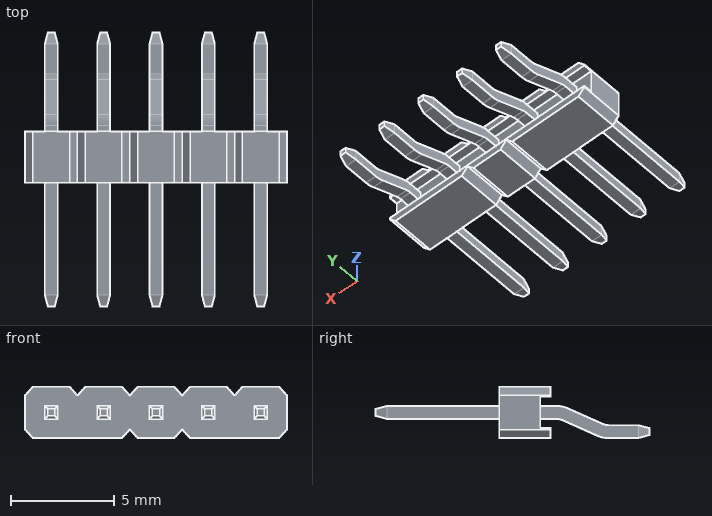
import cadquery as cq
import math

pin_count = 5
pitch = 2.54
housing_length = 12.71
housing_depth = 2.5
housing_height = 2.5
chamfer_width = 0.385
chamfer_height = 0.42
bottom_notch_gaps = (1, 2)

channel_depth = 0.5
channel_height = 1.5

pin_size = 0.64
front_reach = 6.0
back_reach = 4.8
tip_length = 0.56
tip_size = 0.34

jog_start = 0.3
bend_angle = math.radians(24)
inner_bend_radius = pin_size
bend_radius = inner_bend_radius + pin_size / 2

half_length = housing_length / 2
half_height = housing_height / 2
front_face = -housing_depth / 2
back_face = housing_depth / 2
pin_drop = half_height - pin_size / 2
first_pin_x = -pitch * (pin_count - 1) / 2


def make_notch(gap, side):
    """V-groove between two cells; side is +1 for the top and -1 for the bottom."""
    gap_x = first_pin_x + (gap + 0.5) * pitch
    edge_z = side * half_height
    outline = [
        (gap_x - chamfer_width, edge_z),
        (gap_x + chamfer_width, edge_z),
        (gap_x, edge_z - side * chamfer_height),
    ]
    return cq.Workplane("XZ").polyline(outline).close().extrude(housing_depth / 2, both=True)


def make_housing():
    """Octagonal strip with V-grooves and a channel along its back."""
    flat_end = half_length - chamfer_width
    wall_end = half_height - chamfer_height
    outline = [
        (-flat_end, half_height),
        (flat_end, half_height),
        (half_length, wall_end),
        (half_length, -wall_end),
        (flat_end, -half_height),
        (-flat_end, -half_height),
        (-half_length, -wall_end),
        (-half_length, wall_end),
    ]
    housing = cq.Workplane("XZ").polyline(outline).close().extrude(housing_depth / 2, both=True)
    for gap in range(pin_count - 1):
        housing = housing.cut(make_notch(gap, 1))
    for gap in bottom_notch_gaps:
        housing = housing.cut(make_notch(gap, -1))
    channel = cq.Workplane("XY").box(housing_length, 2 * channel_depth, channel_height)
    return housing.cut(channel.translate((0, back_face, 0)))


def make_tip(base_y, base_z, direction):
    """Tapered pin end; direction is +1 towards the back and -1 towards the front."""
    return (
        cq.Workplane(cq.Plane((0, base_y, base_z), (1, 0, 0), (0, direction, 0)))
        .rect(pin_size, pin_size)
        .workplane(offset=tip_length)
        .rect(tip_size, tip_size)
        .loft(ruled=True)
    )


def make_pin():
    """Square pin, straight in front and jogged down behind, tapered at both ends."""
    shank_front = front_face - front_reach + tip_length
    shank_back = back_face + back_reach - tip_length

    arc_run = bend_radius * math.sin(bend_angle)
    arc_drop = bend_radius * (1 - math.cos(bend_angle))
    slope_drop = pin_drop - 2 * arc_drop
    slope_run = slope_drop / math.tan(bend_angle)

    upper_arc_start = back_face + jog_start
    slope_start = upper_arc_start + arc_run
    slope_end = slope_start + slope_run
    lower_arc_end = slope_end + arc_run

    centre_line = (
        cq.Workplane("YZ")
        .moveTo(shank_front, 0)
        .lineTo(upper_arc_start, 0)
        .radiusArc((slope_start, -arc_drop), bend_radius)
        .lineTo(slope_end, -arc_drop - slope_drop)
        .radiusArc((lower_arc_end, -pin_drop), -bend_radius)
        .lineTo(shank_back, -pin_drop)
    )
    shank = cq.Workplane("XZ", origin=(0, shank_front, 0)).rect(pin_size, pin_size).sweep(centre_line)
    return shank.union(make_tip(shank_front, 0, -1)).union(make_tip(shank_back, -pin_drop, 1))


result = make_housing()
pin = make_pin()
for index in range(pin_count):
    result = result.union(pin.translate((first_pin_x + index * pitch, 0, 0)))